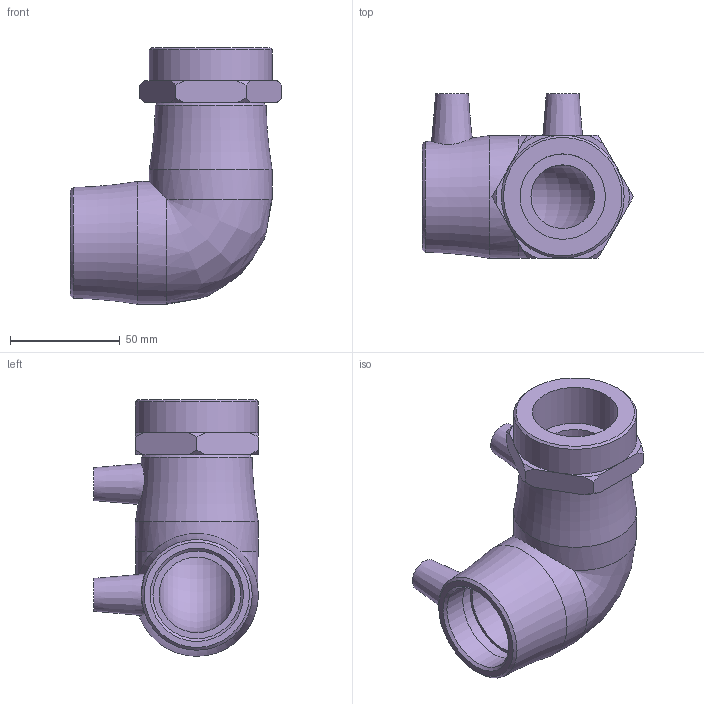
import cadquery as cq
import math

pipe_radius = 28.0
bend_radius = 20.0
flow_radius = 17.25
taper_start = 33.25
leg_end = 64.0
leg_end_radius = 25.25
leg_sag = 0.55
leg_chamfer = 1.25

socket_radius = 20.0
socket_floor = taper_start
socket_chamfer = 1.25
groove_radius = 21.25
groove_start = 46.5
groove_end = 52.5

hex_across_flats = 56.0
hex_height = 10.0
hex_corner_cut = 2.0
collar_radius = 28.0
collar_chamfer = 1.0
adapter_top = 89.0
counterbore_diameter = 38.95
counterbore_depth = 20.0
passage_diameter = 29.0

post_tip_radius = 7.5
post_tip_y = 47.0
post_draft = 5.0
post_distance = 50.5


def to_horizontal(shape):
    """Turn a shape built along +Z so that it runs along -X."""
    return shape.rotate((0, 0, 0), (0, 1, 0), -90)


def make_leg():
    """Straight pipe stub, then a slightly bowed taper with a chamfered end, along +Z."""
    shoulder = leg_end - leg_chamfer
    middle_radius = (pipe_radius + leg_end_radius) / 2 - leg_sag
    middle_height = (taper_start + shoulder) / 2
    return (
        cq.Workplane("XZ")
        .moveTo(0, bend_radius)
        .lineTo(pipe_radius, bend_radius)
        .lineTo(pipe_radius, taper_start)
        .threePointArc((middle_radius, middle_height), (leg_end_radius, shoulder))
        .lineTo(leg_end_radius - leg_chamfer, leg_end)
        .lineTo(0, leg_end)
        .close()
        .revolve(360, (0, 0, 0), (0, 1, 0))
    )


def make_outer_bend():
    """Quarter turn of the pipe section, cut off at the bend axis because the pipe is wider."""
    half_chord = math.sqrt(pipe_radius**2 - bend_radius**2)
    return (
        cq.Workplane("YZ", origin=(-bend_radius, 0, 0))
        .moveTo(-half_chord, bend_radius)
        .threePointArc((0, -pipe_radius), (half_chord, bend_radius))
        .close()
        .revolve(90, (0, bend_radius, 0), (-1, bend_radius, 0))
    )


def make_flow_bend():
    """Quarter turn of the inner passage."""
    return (
        cq.Workplane("XY", origin=(0, 0, bend_radius))
        .circle(flow_radius)
        .revolve(90, (-bend_radius, 0, 0), (-bend_radius, 1, 0))
    )


def cylinder(radius, bottom, top):
    """Cylinder about the Z axis between two heights."""
    return cq.Workplane("XY", origin=(0, 0, bottom)).circle(radius).extrude(top - bottom)


def cone(start_radius, end_radius, length, start, direction):
    """Truncated cone from a start point along a direction."""
    return cq.Workplane(obj=cq.Solid.makeCone(start_radius, end_radius, length, start, direction))


def make_socket():
    """Space inside the open leg, along +Z: passage, socket, seal groove and lead-in."""
    passage = cylinder(flow_radius, bend_radius, socket_floor)
    socket = cylinder(socket_radius, socket_floor, leg_end)
    groove = cylinder(groove_radius, groove_start, groove_end)
    lead_in = cone(
        socket_radius, socket_radius + socket_chamfer, socket_chamfer,
        cq.Vector(0, 0, leg_end - socket_chamfer), cq.Vector(0, 0, 1),
    )
    return passage.union(socket).union(groove).union(lead_in)


def make_adapter():
    """Hexagon with cut corners and a round collar, standing on the vertical leg."""
    corner_radius = hex_across_flats / math.sqrt(3)
    hexagon = (
        cq.Workplane("XY", origin=(0, 0, leg_end))
        .polygon(6, 2 * corner_radius)
        .extrude(hex_height)
    )
    corner_limit = (
        cylinder(corner_radius, leg_end, leg_end + hex_height)
        .edges("%CIRCLE")
        .chamfer(hex_corner_cut)
    )
    collar = cylinder(collar_radius, leg_end, adapter_top).faces(">Z").chamfer(collar_chamfer)
    return hexagon.intersect(corner_limit).union(collar)


def make_post(x, z):
    """Conical terminal post from the pipe axis plane out to its tip."""
    root_radius = post_tip_radius + post_tip_y * math.tan(math.radians(post_draft))
    return cone(root_radius, post_tip_radius, post_tip_y, cq.Vector(x, 0, z), cq.Vector(0, 1, 0))


body = make_leg().union(to_horizontal(make_leg())).union(make_outer_bend()).union(make_adapter())
for x, z in ((-post_distance, 0), (0, post_distance)):
    body = body.union(make_post(x, z))

body = body.cut(make_flow_bend())
body = body.cut(to_horizontal(make_socket()))
body = body.cut(cylinder(passage_diameter / 2, bend_radius, adapter_top))
body = body.cut(cylinder(counterbore_diameter / 2, adapter_top - counterbore_depth, adapter_top))

result = body